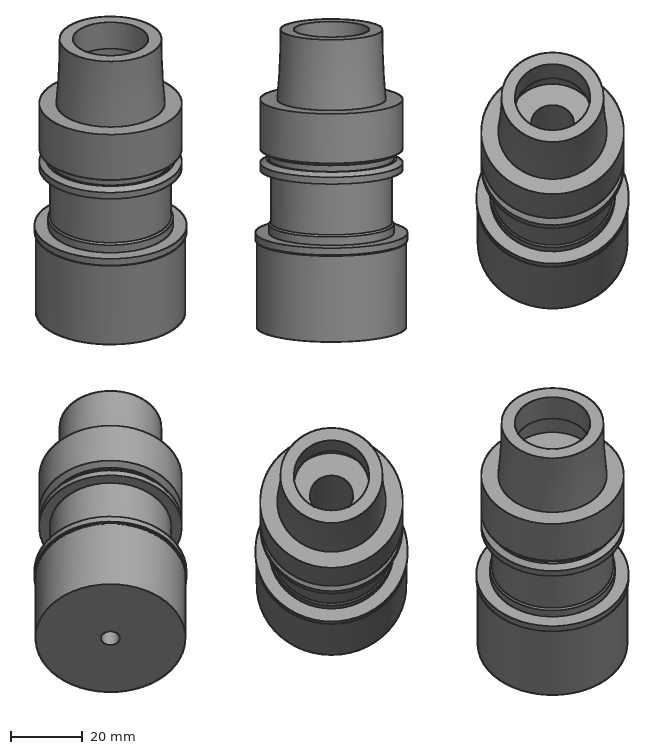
import cadquery as cq

total_height = 85.0
nut_shoulder_z = 24.6
ring_bottom_z = 24.9
ring_top_z = 26.95
collar_edge_z = 29.3
collar_top_z = 29.8
flange_bottom_z = 45.0
lower_bevel_z = 46.9
groove_bottom_z = 48.0
groove_top_z = 49.9
upper_bevel_z = 50.9
flange_top_z = 65.0

nut_radius = 21.0
nut_neck_radius = 20.65
ring_radius = 21.3
collar_radius = 17.5
neck_radius = 17.0
flange_radius = 20.0
groove_lip_radius = 18.2
groove_radius = 17.5
shank_base_radius = 15.2
shank_top_radius = 14.3

mouth_radius = 10.5
mouth_depth = 8.25
undercut_radius = 12.75
undercut_floor_depth = 15.6
bore_radius = 6.0
through_radius = 2.6


def cylinder(radius, bottom_z, top_z):
    """Upright cylinder centred on the Z axis."""
    return cq.Workplane("XY").workplane(offset=bottom_z).circle(radius).extrude(top_z - bottom_z)


def make_holder():
    """Gripper flange, neck and flared shank, with an undercut bore open at the top."""
    shank_mid_z = (flange_top_z + total_height) / 2
    shank_mid_radius = shank_top_radius + (shank_base_radius - shank_top_radius) / 4
    outside = (
        cq.Workplane("XZ")
        .moveTo(0, ring_top_z)
        .lineTo(collar_radius, ring_top_z)
        .lineTo(collar_radius, collar_edge_z)
        .lineTo(neck_radius, collar_top_z)
        .lineTo(neck_radius, flange_bottom_z)
        .lineTo(flange_radius, flange_bottom_z)
        .lineTo(flange_radius, lower_bevel_z)
        .lineTo(groove_lip_radius, groove_bottom_z)
        .lineTo(groove_radius, groove_bottom_z)
        .lineTo(groove_radius, groove_top_z)
        .lineTo(groove_lip_radius, groove_top_z)
        .lineTo(flange_radius, upper_bevel_z)
        .lineTo(flange_radius, flange_top_z)
        .lineTo(shank_base_radius, flange_top_z)
        .threePointArc((shank_mid_radius, shank_mid_z), (shank_top_radius, total_height))
        .lineTo(0, total_height)
        .close()
        .revolve(360, (0, 0), (0, 1))
    )
    undercut_top_z = total_height - mouth_depth
    undercut_floor_z = total_height - undercut_floor_depth
    return (
        outside
        .cut(cylinder(mouth_radius, undercut_top_z, total_height))
        .cut(cylinder(undercut_radius, undercut_floor_z, undercut_top_z))
        .cut(cylinder(bore_radius, ring_top_z, undercut_floor_z))
    )


def make_ring():
    """Flat ring between the holder and the nut."""
    return cylinder(ring_radius, ring_bottom_z, ring_top_z).cut(
        cylinder(through_radius, ring_bottom_z, ring_top_z)
    )


def make_nut():
    """Plain round nut with a short neck under the ring."""
    body = cylinder(nut_radius, 0, nut_shoulder_z)
    neck = cylinder(nut_neck_radius, nut_shoulder_z, ring_bottom_z)
    return body.union(neck).cut(cylinder(through_radius, 0, ring_bottom_z))


holder = make_holder()
ring = make_ring()
nut = make_nut()

result = cq.Compound.makeCompound([holder.val(), ring.val(), nut.val()])